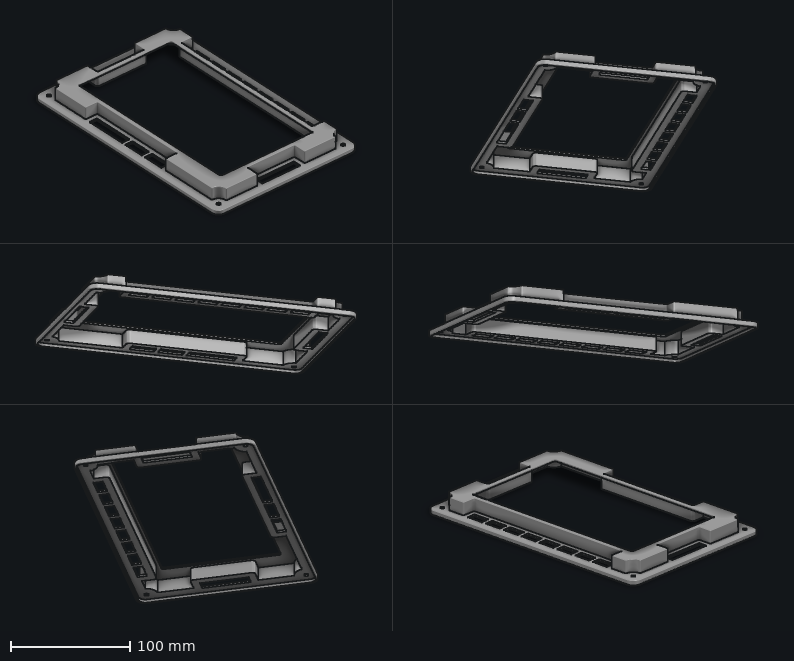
import cadquery as cq
LENGTH = 237.0
WIDTH = 157.0
HEIGHT = 17.0

FLANGE_HEIGHT = 5.0
FLANGE_CORNER_RADIUS = 8.0

FRAME_INSET = 9.0
FRAME_LENGTH = LENGTH - 2 * FRAME_INSET
FRAME_WIDTH = WIDTH - 2 * FRAME_INSET

WALL = 2.0
EDGE_RADIUS = 1.0

RECESS_TO_WINDOW = 5.0
WINDOW_RADIUS = 2.0
WINDOW_EDGE_RADIUS = 0.5

HOLE_DIAMETER = 3.5
HOLE_INSET = 9.5
NOTCH_RADIUS = 8.0
HOLE_POINTS = [
    (side_x * (LENGTH / 2 - HOLE_INSET), side_y * (WIDTH / 2 - HOLE_INSET))
    for side_x in (-1, 1)
    for side_y in (-1, 1)
]

SLOT_DEPTH = 8.0
SLOT_MARGIN = 5.0
RECESS_DEPTH = SLOT_DEPTH + SLOT_MARGIN

BACK_SLOT_COUNT = 8
BACK_SLOT_LENGTH = 15.9
BACK_SLOT_GAP = 4.5
BACK_ROW_LENGTH = BACK_SLOT_COUNT * BACK_SLOT_LENGTH + (BACK_SLOT_COUNT - 1) * BACK_SLOT_GAP

FRONT_LONG_SLOT = 42.0
FRONT_SHORT_SLOT = 21.0
FRONT_SLOT_GAP = 4.0
FRONT_SLOTS = [FRONT_LONG_SLOT, FRONT_SHORT_SLOT, FRONT_SHORT_SLOT]
FRONT_ROW_LENGTH = sum(FRONT_SLOTS) + (len(FRONT_SLOTS) - 1) * FRONT_SLOT_GAP
FRONT_ROW_CENTER = -10.2

END_SLOT_LENGTH = 42.0

WINDOW_LENGTH = FRAME_LENGTH - 2 * (RECESS_DEPTH + RECESS_TO_WINDOW)
WINDOW_WIDTH = FRAME_WIDTH - 2 * (RECESS_DEPTH + RECESS_TO_WINDOW)


def block(size_x, size_y, height, center_x=0.0, center_y=0.0):
    """Upright block with its base on Z = 0."""
    return cq.Workplane("XY").center(center_x, center_y).rect(size_x, size_y).extrude(height)


def cut_recesses(body):
    """Open the four frame sides around the slots."""
    back_length = BACK_ROW_LENGTH + 2 * SLOT_MARGIN
    front_length = FRONT_ROW_LENGTH + 2 * SLOT_MARGIN
    end_length = END_SLOT_LENGTH + 2 * SLOT_MARGIN
    span = 2 * RECESS_DEPTH
    body = body.cut(block(back_length, span, HEIGHT, 0, FRAME_WIDTH / 2))
    body = body.cut(block(front_length, span, HEIGHT, FRONT_ROW_CENTER, -FRAME_WIDTH / 2))
    for side in (-1, 1):
        body = body.cut(block(span, end_length, HEIGHT, side * FRAME_LENGTH / 2, 0))
    return body


def raised_frame():
    """Solid frame block with corner notches and side recesses."""
    body = block(FRAME_LENGTH, FRAME_WIDTH, HEIGHT)
    body = body.cut(cq.Workplane("XY").pushPoints(HOLE_POINTS).circle(NOTCH_RADIUS).extrude(HEIGHT))
    return cut_recesses(body).edges("|Z").fillet(EDGE_RADIUS)


def flange_plate():
    """Solid flange with rounded corners and rounded top and bottom edges."""
    plate = block(LENGTH, WIDTH, FLANGE_HEIGHT).edges("|Z").fillet(FLANGE_CORNER_RADIUS)
    return plate.faces("|Z").edges().fillet(EDGE_RADIUS)


def cavity(body, height):
    """Hollow that leaves one wall thickness inside the outline of a body."""
    outline = body.section(height / 2).wires().val()
    base_outline = outline.moved(cq.Location((0, 0, -height / 2)))
    return cq.Workplane("XY").add(base_outline).toPending().offset2D(-WALL).extrude(height - WALL)


def slot_row(lengths, gap, center_x, center_y):
    """Cutter for a row of slots laid out along X."""
    cutter = cq.Workplane("XY")
    start = center_x - (sum(lengths) + (len(lengths) - 1) * gap) / 2
    for length in lengths:
        cutter = cutter.add(block(length, SLOT_DEPTH, HEIGHT, start + length / 2, center_y))
        start += length + gap
    return cutter.combine()


def cut_slots(body):
    """Cut the slots, whose outer edges line up with the frame sides."""
    slot_x = (FRAME_LENGTH - SLOT_DEPTH) / 2
    slot_y = (FRAME_WIDTH - SLOT_DEPTH) / 2
    body = body.cut(slot_row([BACK_SLOT_LENGTH] * BACK_SLOT_COUNT, BACK_SLOT_GAP, 0, slot_y))
    body = body.cut(slot_row(FRONT_SLOTS, FRONT_SLOT_GAP, FRONT_ROW_CENTER, -slot_y))
    for side in (-1, 1):
        body = body.cut(block(SLOT_DEPTH, END_SLOT_LENGTH, HEIGHT, side * slot_x, 0))
    return body


def cut_window(body):
    """Cut the window and round its top rim."""
    body = body.cut(block(WINDOW_LENGTH, WINDOW_WIDTH, HEIGHT).edges("|Z").fillet(WINDOW_RADIUS))
    reach_x = WINDOW_LENGTH / 2 + WINDOW_EDGE_RADIUS
    reach_y = WINDOW_WIDTH / 2 + WINDOW_EDGE_RADIUS
    rim = cq.selectors.BoxSelector(
        (-reach_x, -reach_y, HEIGHT - WINDOW_EDGE_RADIUS),
        (reach_x, reach_y, HEIGHT + WINDOW_EDGE_RADIUS),
    )
    return body.edges(rim).fillet(WINDOW_EDGE_RADIUS)


frame = raised_frame()
flange = flange_plate()
holes = cq.Workplane("XY").pushPoints(HOLE_POINTS).circle(HOLE_DIAMETER / 2).extrude(HEIGHT)

outer = flange.union(frame.faces(">Z").edges().fillet(EDGE_RADIUS))
shell = outer.cut(cavity(flange, FLANGE_HEIGHT)).cut(cavity(frame, HEIGHT))
result = cut_window(cut_slots(shell).cut(holes))